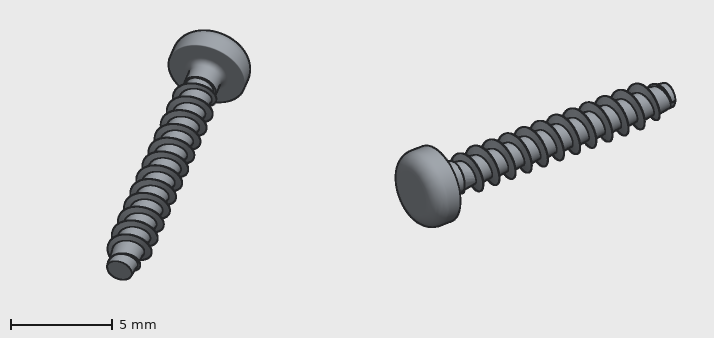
import cadquery as cq
import math

LENGTH = 15.5
HEAD_RADIUS = 2.0
HEAD_HEIGHT = 1.53
CROWN_FILLET = 0.8
HEAD_RIM_FILLET = 0.05

NECK_RADIUS = 0.84
NECK_FILLET = 0.3
NECK_END = 2.59
CORE_RADIUS = 0.64

TWELVE_TURN_LENGTH = 11.75
PITCH = TWELVE_TURN_LENGTH / 12
CREST_RADIUS = 1.12
CREST_HALF_WIDTH = 0.019
ROOT_RADIUS = 0.6
ROOT_HALF_WIDTH = 0.15

TAPER_WIDE_RADIUS = 0.79
TAPER_NARROW_RADIUS = 0.67
TAPER_BASE_RADIUS = 0.46
TURN_GAP = 0.05

FIRST_CREST = 3.0
RUN_IN_START = FIRST_CREST - PITCH / 2
RUN_IN_END = RUN_IN_START + PITCH
TURNS_BEFORE_FADE = 11.25
FADE_TURNS = 1.25
FADE_START = FIRST_CREST + TURNS_BEFORE_FADE * PITCH
FADE_END = FADE_START + FADE_TURNS * PITCH

RUN_IN_DROP = 0.25
THREAD_FADE_DROP = 0.46
TAPER_FADE_DROP = 0.1


def make_shank():
    """Head, filleted neck and plain core as one revolved body."""
    neck_fillet_radius = NECK_RADIUS + NECK_FILLET
    return (
        cq.Workplane("XZ")
        .lineTo(HEAD_RADIUS - CROWN_FILLET, 0)
        .radiusArc((HEAD_RADIUS, CROWN_FILLET), -CROWN_FILLET)
        .lineTo(HEAD_RADIUS, HEAD_HEIGHT - HEAD_RIM_FILLET)
        .radiusArc((HEAD_RADIUS - HEAD_RIM_FILLET, HEAD_HEIGHT), -HEAD_RIM_FILLET)
        .lineTo(neck_fillet_radius, HEAD_HEIGHT)
        .radiusArc((NECK_RADIUS, HEAD_HEIGHT + NECK_FILLET), NECK_FILLET)
        .lineTo(NECK_RADIUS, NECK_END)
        .lineTo(CORE_RADIUS, NECK_END)
        .lineTo(CORE_RADIUS, LENGTH)
        .lineTo(0, LENGTH)
        .close()
        .revolve(360, (0, 0, 0), (0, 1, 0))
    )


def helix(start_radius, end_radius, start, end, offset):
    """Right-hand helix whose radius changes steadily; offset shifts it along the axis."""
    height = end - start
    slope = math.atan2(abs(end_radius - start_radius), height)
    small_radius = min(start_radius, end_radius)
    stretch = 1 / math.cos(slope)
    if start_radius == end_radius:
        wire = cq.Wire.makeHelix(PITCH, height, small_radius)
    else:
        cone_angle = math.degrees(slope)
        wire = cq.Wire.makeHelix(PITCH * stretch, height * stretch, small_radius, angle=cone_angle)
    turn = 360 * (start - FIRST_CREST) / PITCH
    origin = cq.Vector(0, 0, 0)
    if end_radius < start_radius:
        turn += 360 * height / PITCH
        wire = wire.rotate(origin, cq.Vector(1, 0, 0), 180)
        start = end
    wire = wire.rotate(origin, cq.Vector(0, 0, 1), turn)
    return wire.translate(cq.Vector(0, 0, start + offset))


def helical_ridge(profile, start, end, start_drop=0.0, end_drop=0.0):
    """Sweep a profile of (radius, axial offset) corners, lowered at either end by a drop."""
    rails = [helix(r - start_drop, r - end_drop, start, end, offset) for r, offset in profile]
    sides = [
        cq.Face.makeRuledSurface(rail, next_rail)
        for rail, next_rail in zip(rails, rails[1:] + rails[:1])
    ]

    def cap(position, drop):
        angle = 360 * (position - FIRST_CREST) / PITCH
        corners = [cq.Vector(r - drop, 0, position + offset) for r, offset in profile]
        face = cq.Face.makeFromWires(cq.Wire.makePolygon(corners, close=True))
        return face.rotate(cq.Vector(0, 0, 0), cq.Vector(0, 0, 1), angle)

    faces = sides + [cap(start, start_drop), cap(end, end_drop)]
    shell = cq.Shell.makeShell(faces)
    solid = cq.Solid.makeSolid(shell)
    return solid.fix()


def make_thread():
    profile = [
        (ROOT_RADIUS, -ROOT_HALF_WIDTH),
        (CREST_RADIUS, -CREST_HALF_WIDTH),
        (CREST_RADIUS, CREST_HALF_WIDTH),
        (ROOT_RADIUS, ROOT_HALF_WIDTH),
    ]
    return [
        helical_ridge(profile, RUN_IN_START, RUN_IN_END, start_drop=RUN_IN_DROP),
        helical_ridge(profile, RUN_IN_END, FADE_START),
        helical_ridge(profile, FADE_START, FADE_END, end_drop=THREAD_FADE_DROP),
    ]


def make_core_taper():
    profile = [
        (TAPER_BASE_RADIUS, 0),
        (TAPER_WIDE_RADIUS, 0),
        (TAPER_NARROW_RADIUS, PITCH - TURN_GAP),
        (TAPER_BASE_RADIUS, PITCH - TURN_GAP),
    ]
    return [
        helical_ridge(profile, RUN_IN_START - PITCH, FADE_START),
        helical_ridge(profile, FADE_START, FADE_END, end_drop=TAPER_FADE_DROP),
    ]


threaded_zone = (
    cq.Workplane("XY", origin=(0, 0, NECK_END)).circle(HEAD_RADIUS).extrude(LENGTH - NECK_END)
)
result = make_shank()
for ridge in make_thread() + make_core_taper():
    result = result.union(threaded_zone.intersect(cq.Workplane(ridge)))
result = result.rotate((0, 0, 0), (1, 0, 0), 90)